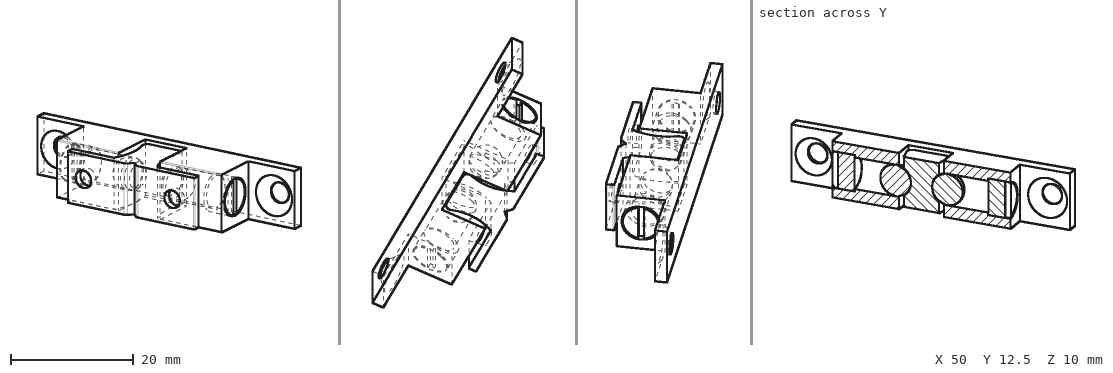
import cadquery as cq
import math

LENGTH = 50.0
HEIGHT = 10.0
DEPTH = 12.5
BACK_Y = DEPTH / 2
PLATE_THICKNESS = 2.0
BLOCK_LENGTH = 32.0
BLOCK_DEPTH = 10.0
BLOCK_EDGE_RADIUS = 0.2
SLOT_WIDTH = 8.0
MOUNT_HOLE_X = 21.0
MOUNT_HOLE_DIAMETER = 3.5
LEFT_SINK_DIAMETER = 6.5
RIGHT_SINK_DIAMETER = 7.0
SINK_ANGLE = 90.0

SCREW_DIAMETER = 6.4
SCREW_LENGTH = 4.0
SCREW_CHAMFER = 0.2
SCREW_Y = BACK_Y - 6.0
DRIVE_SLOT_WIDTH = 1.0
DRIVE_SLOT_DEPTH = 1.0
BALL_DIAMETER = 5.5
BALL_X = 4.7
BALL_Y = BACK_Y - 5.6

KEEPER_HEIGHT = 8.9
KEEPER_LENGTH = 24.6
KEEPER_END_RADIUS = 0.2
KEEPER_THICKNESS = 1.4
KEEPER_FRONT_Y = BACK_Y - DEPTH
KEEPER_BACK_Y = KEEPER_FRONT_Y + KEEPER_THICKNESS
TONGUE_CLEARANCE = 0.3
TONGUE_END_Y = BACK_Y - PLATE_THICKNESS - TONGUE_CLEARANCE
TONGUE_CORNER_RADIUS = 0.9
ROOT_HALF_WIDTH = 4.2
WAIST_HALF_WIDTH = 3.15
WAIST_Y = BACK_Y - 6.65
NOTCH_HALF_WIDTH = 1.05
NOTCH_EDGE_RADIUS = 0.7
KEEPER_HOLE_DIAMETER = 3.0
KEEPER_HOLES = [(-9.25, 0.2), (8.0, 0.0)]

SIDES = (-1, 1)


def x_cylinder(diameter, start_x, end_x, y):
    """Cylinder along X between two X positions, on the Z = 0 plane."""
    return (
        cq.Workplane("YZ", origin=(start_x, 0, 0))
        .center(y, 0)
        .circle(diameter / 2)
        .extrude(end_x - start_x)
    )


def make_ball(side):
    return cq.Workplane("XY").sphere(BALL_DIAMETER / 2).translate((side * BALL_X, BALL_Y, 0))


def make_screw(side):
    outer_x = side * BLOCK_LENGTH / 2
    inner_x = outer_x - side * SCREW_LENGTH
    screw = x_cylinder(SCREW_DIAMETER, inner_x, outer_x, SCREW_Y)
    screw = screw.faces("<X" if side < 0 else ">X").chamfer(SCREW_CHAMFER)
    drive_slot = cq.Workplane("XY").box(2 * DRIVE_SLOT_DEPTH, DRIVE_SLOT_WIDTH, SCREW_DIAMETER)
    return screw.cut(drive_slot.translate((outer_x, SCREW_Y, 0)))


def mount_hole(x, sink_diameter):
    """Countersunk hole through the back plate, wide end facing -Y."""
    plate_front_y = BACK_Y - PLATE_THICKNESS
    sink_depth = (sink_diameter - MOUNT_HOLE_DIAMETER) / 2 / math.tan(math.radians(SINK_ANGLE / 2))
    hole = cq.Solid.makeCylinder(
        MOUNT_HOLE_DIAMETER / 2, PLATE_THICKNESS, cq.Vector(x, plate_front_y, 0), cq.Vector(0, 1, 0)
    )
    sink = cq.Solid.makeCone(
        sink_diameter / 2,
        MOUNT_HOLE_DIAMETER / 2,
        sink_depth,
        cq.Vector(x, plate_front_y, 0),
        cq.Vector(0, 1, 0),
    )
    return hole.fuse(sink)


def make_housing():
    plate = cq.Workplane("XY").box(LENGTH, PLATE_THICKNESS, HEIGHT)
    plate = plate.translate((0, BACK_Y - PLATE_THICKNESS / 2, 0))
    block = cq.Workplane("XY").box(BLOCK_LENGTH, BLOCK_DEPTH, HEIGHT)
    block = block.faces("<Y").edges("|X").fillet(BLOCK_EDGE_RADIUS)
    housing = plate.union(block.translate((0, BACK_Y - BLOCK_DEPTH / 2, 0)))

    slot_depth = BLOCK_DEPTH - PLATE_THICKNESS
    slot = cq.Workplane("XY").box(SLOT_WIDTH, slot_depth, HEIGHT)
    housing = housing.cut(slot.translate((0, BACK_Y - PLATE_THICKNESS - slot_depth / 2, 0)))

    housing = housing.cut(mount_hole(-MOUNT_HOLE_X, LEFT_SINK_DIAMETER))
    housing = housing.cut(mount_hole(MOUNT_HOLE_X, RIGHT_SINK_DIAMETER))

    for side in SIDES:
        outer_x = side * BLOCK_LENGTH / 2
        screw_end_x = outer_x - side * SCREW_LENGTH
        housing = housing.cut(x_cylinder(SCREW_DIAMETER, screw_end_x, outer_x, SCREW_Y), clean=False)
        housing = housing.cut(x_cylinder(BALL_DIAMETER, side * BALL_X, screw_end_x, BALL_Y), clean=False)
        housing = housing.cut(make_ball(side), clean=False)
    return housing


def tongue_end_half_width():
    """Half width where the waist arc, carried on, reaches the tongue end."""
    root_rise = WAIST_Y - KEEPER_BACK_Y
    root_flare = ROOT_HALF_WIDTH - WAIST_HALF_WIDTH
    waist_radius = (root_rise**2 + root_flare**2) / (2 * root_flare)
    end_rise = TONGUE_END_Y - WAIST_Y
    return WAIST_HALF_WIDTH + waist_radius - math.sqrt(waist_radius**2 - end_rise**2)


def make_keeper():
    end_half_width = tongue_end_half_width()
    bottom_z = -KEEPER_HEIGHT / 2
    tongue = (
        cq.Workplane("XY", origin=(0, 0, bottom_z))
        .moveTo(-ROOT_HALF_WIDTH, KEEPER_BACK_Y)
        .threePointArc((-WAIST_HALF_WIDTH, WAIST_Y), (-end_half_width, TONGUE_END_Y))
        .lineTo(end_half_width, TONGUE_END_Y)
        .threePointArc((WAIST_HALF_WIDTH, WAIST_Y), (ROOT_HALF_WIDTH, KEEPER_BACK_Y))
        .close()
        .extrude(KEEPER_HEIGHT)
    )
    tongue = tongue.faces(">Y").edges("|Z").fillet(TONGUE_CORNER_RADIUS)

    half_length = KEEPER_LENGTH / 2
    plate = (
        cq.Workplane("XY", origin=(0, 0, bottom_z))
        .moveTo(-half_length, KEEPER_BACK_Y)
        .lineTo(-half_length, KEEPER_FRONT_Y)
        .lineTo(-NOTCH_HALF_WIDTH, KEEPER_FRONT_Y)
        .lineTo(0, KEEPER_FRONT_Y + NOTCH_HALF_WIDTH)
        .lineTo(NOTCH_HALF_WIDTH, KEEPER_FRONT_Y)
        .lineTo(half_length, KEEPER_FRONT_Y)
        .lineTo(half_length, KEEPER_BACK_Y)
        .close()
        .extrude(KEEPER_HEIGHT)
    )
    for notch_edge_x in (-NOTCH_HALF_WIDTH, NOTCH_HALF_WIDTH):
        notch_edge = cq.selectors.NearestToPointSelector((notch_edge_x, KEEPER_FRONT_Y, 0))
        plate = plate.edges("|Z").edges(notch_edge).fillet(NOTCH_EDGE_RADIUS)
    for end_face in ("<X", ">X"):
        plate = plate.faces(end_face).edges("|Z").fillet(KEEPER_END_RADIUS)
    keeper = plate.union(tongue)

    for x, z in KEEPER_HOLES:
        hole = cq.Solid.makeCylinder(
            KEEPER_HOLE_DIAMETER / 2, KEEPER_THICKNESS, cq.Vector(x, KEEPER_FRONT_Y, z), cq.Vector(0, 1, 0)
        )
        keeper = keeper.cut(hole)

    for side in SIDES:
        keeper = keeper.cut(make_ball(side), clean=False)
    return keeper


housing = make_housing()
keeper = make_keeper()
screws = [make_screw(side).val() for side in SIDES]
balls = [make_ball(side).val() for side in SIDES]

result = cq.Compound.makeCompound([housing.val(), keeper.val(), *screws, *balls])